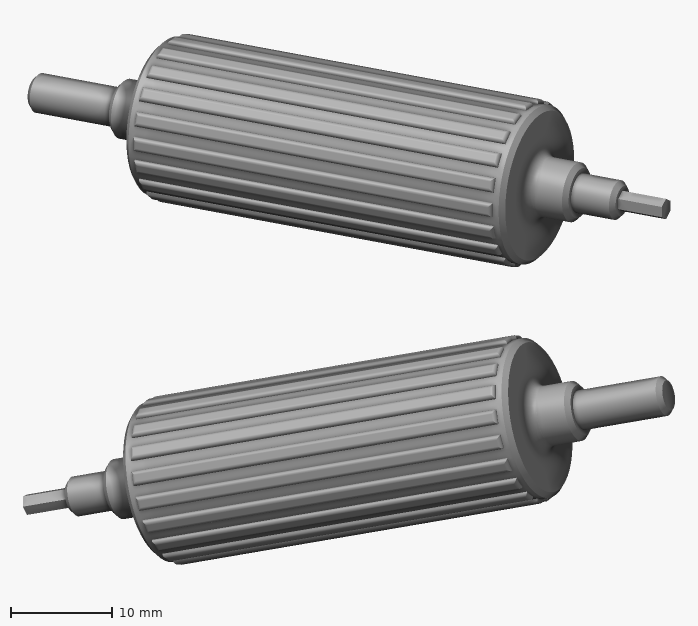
import cadquery as cq

total_length = 69.8

body_start = 14.0
body_end = 55.85
body_radius = 16.0 / 2
body_chamfer = 0.5

shoulder_length = 4.5
shoulder_radius = 6.0 / 2
shoulder_chamfer = 0.5
root_fillet = 1.0

journal_radius = 4.0 / 2
journal_chamfer = 0.5
short_journal_end = 65.0

hex_across_corners = 2.15
hex_sides = 6

rib_count = 20
rib_height = 0.405
rib_top_radius = body_radius + rib_height
rib_width = 1.5
rib_end_margin = 1.1
rib_edge_fillet = 0.4
rib_depth = 0.85


def make_cylinder(start, end, radius):
    """Solid cylinder along X between two axial positions."""
    return cq.Workplane("YZ", origin=(start, 0, 0)).circle(radius).extrude(end - start)


def make_body():
    body = make_cylinder(body_start, body_end, body_radius)
    return body.faces("<X or >X").edges().chamfer(body_chamfer)


def make_shoulder(face_x, direction):
    """Chamfered shoulder growing outward from a body face, with a concave fillet at its root."""
    tip_x = face_x + direction * shoulder_length
    root_center = (face_x + direction * root_fillet, shoulder_radius + root_fillet)
    arc_offset = root_fillet * 0.5 ** 0.5
    arc_middle = (root_center[0] - direction * arc_offset, root_center[1] - arc_offset)
    profile = (
        cq.Workplane("XY")
        .moveTo(face_x, 0)
        .lineTo(face_x, root_center[1])
        .threePointArc(arc_middle, (root_center[0], shoulder_radius))
        .lineTo(tip_x - direction * shoulder_chamfer, shoulder_radius)
        .lineTo(tip_x, shoulder_radius - shoulder_chamfer)
        .lineTo(tip_x, 0)
        .close()
    )
    return profile.revolve(360, (0, 0, 0), (1, 0, 0))


def make_journals():
    """Long and short journals, each chamfered at its free end."""
    long_journal = make_cylinder(0, body_start, journal_radius)
    short_journal = make_cylinder(body_end, short_journal_end, journal_radius)
    long_journal = long_journal.faces("<X").edges().chamfer(journal_chamfer)
    short_journal = short_journal.faces(">X").edges().chamfer(journal_chamfer)
    return long_journal.union(short_journal)


def make_hex_drive():
    """Hexagonal bar with two of its corners pointing along Z."""
    return (
        cq.Workplane("YZ", origin=(short_journal_end, 0, 0))
        .transformed(rotate=(0, 0, 90))
        .polygon(hex_sides, hex_across_corners)
        .extrude(total_length - short_journal_end)
    )


def make_rib():
    """Rib along the top of the body, with its underside sunk below the body surface."""
    rib_length = body_end - body_start - 2 * rib_end_margin
    rib_middle = (body_start + body_end) / 2
    rib = (
        cq.Workplane("XY", origin=(rib_middle, 0, rib_top_radius))
        .rect(rib_length, rib_width)
        .extrude(-rib_depth)
    )
    return rib.faces(">Z").edges().fillet(rib_edge_fillet)


result = make_body().union(make_journals()).union(make_hex_drive())
result = result.union(make_shoulder(body_start, -1)).union(make_shoulder(body_end, 1))

rib = make_rib()
for index in range(rib_count):
    angle = index * 360 / rib_count
    result = result.union(rib.rotate((0, 0, 0), (1, 0, 0), angle))